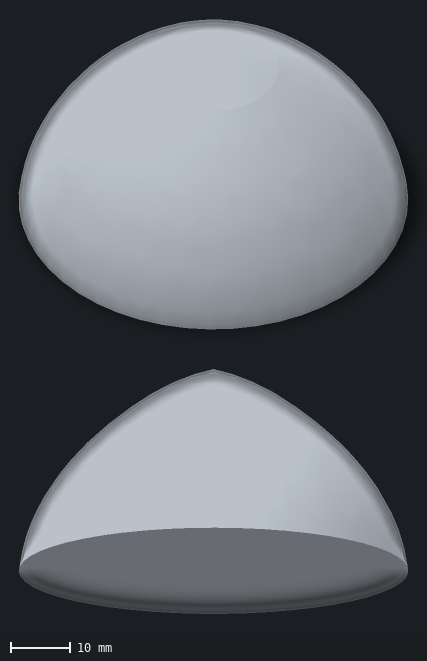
import cadquery as cq

base_diameter = 66.0
lower_diameter = 60.0
shoulder_diameter = 46.0
cap_diameter = 22.0
cap_height = 30.0
flank_step_count = 3
tip_diameter = 0.2
total_height = 35.0

cap_bulge_radius = 5.9
cap_bulge_height = 32.8

flank_step = cap_height / flank_step_count
flank_points = [
    (lower_diameter / 2, flank_step),
    (shoulder_diameter / 2, 2 * flank_step),
    (cap_diameter / 2, cap_height),
]

half_profile = (
    cq.Workplane("XZ")
    .lineTo(base_diameter / 2, 0)
    .spline(flank_points, includeCurrent=True)
    .threePointArc((cap_bulge_radius, cap_bulge_height), (tip_diameter / 2, total_height))
    .lineTo(0, total_height)
    .close()
)

result = half_profile.revolve(360, (0, 0, 0), (0, 1, 0))